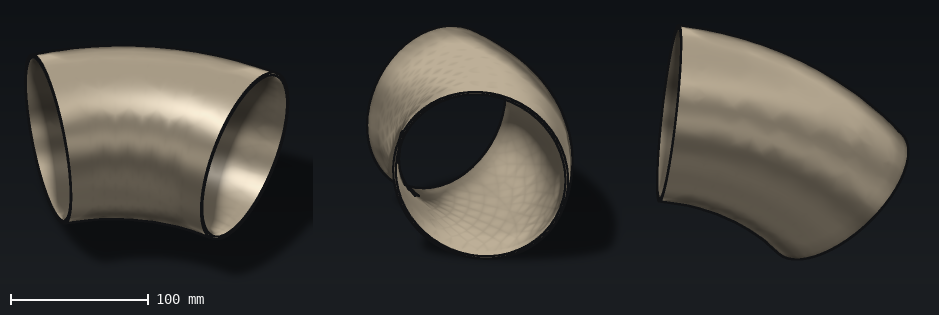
import cadquery as cq
import math

inlet_diameter = 125.0
outlet_diameter = 128.95
wall_thickness = 2.0
bend_angle = 45.0
bend_radius = 1.5 * inlet_diameter


def point_on_bend(angle):
    """Centreline point after turning by angle degrees from +Y towards +X."""
    turn = math.radians(angle)
    return (bend_radius * (1 - math.cos(turn)), bend_radius * math.sin(turn), 0)


def section_wire(diameter, angle):
    """Circle square to the centreline at the given turn angle."""
    turn = math.radians(angle)
    plane = cq.Plane(
        origin=point_on_bend(angle),
        xDir=(0, 0, 1),
        normal=(math.sin(turn), math.cos(turn), 0),
    )
    return cq.Workplane(plane).circle(diameter / 2).wires().val()


def tapered_bend(start_diameter, end_diameter):
    """Solid bend whose round section grows from the start to the end diameter."""
    centreline = cq.Workplane("XY").threePointArc(
        point_on_bend(bend_angle / 2), point_on_bend(bend_angle)
    )
    sections = [
        section_wire(start_diameter, 0),
        section_wire(end_diameter, bend_angle),
    ]
    return cq.Workplane(cq.Solid.sweep_multi(sections, centreline.val()))


outer_body = tapered_bend(inlet_diameter, outlet_diameter)
bore = tapered_bend(
    inlet_diameter - 2 * wall_thickness,
    outlet_diameter - 2 * wall_thickness,
)
result = outer_body.cut(bore)